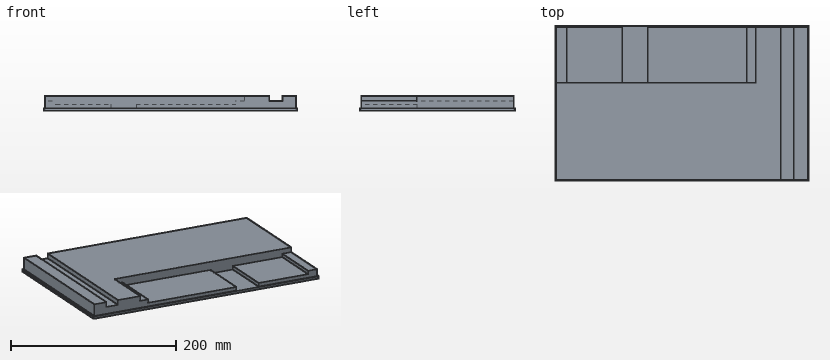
import cadquery as cq

length = 307.0
width = 188.0
height = 18.0
flange_thickness = 3.0
flange_overhang = 1.5

groove_start = 119.7
groove_end = 135.5
groove_depth = 6.0

recess_front = 25.0
recess_end = 89.3
recess_depth = 6.0

floor_start = -139.7
floor_end = 78.5
floor_depth = 10.5

channel_start = -72.0
channel_end = -41.8
channel_depth = height - flange_thickness

body_length = length - 2 * flange_overhang
body_width = width - 2 * flange_overhang
body_left = -body_length / 2
body_front = -body_width / 2
body_back = body_width / 2


def top_cut(x_start, x_end, y_start, depth):
    """Box reaching down from the top face and back to the +Y side of the body."""
    return cq.Workplane("XY").box(
        x_end - x_start, body_back - y_start, depth, centered=False
    ).translate((x_start, y_start, height - depth))


flange = cq.Workplane("XY").box(length, width, flange_thickness, centered=(True, True, False))
body = cq.Workplane("XY").box(body_length, body_width, height, centered=(True, True, False))

groove = top_cut(groove_start, groove_end, body_front, groove_depth)
recess = top_cut(body_left, recess_end, recess_front, recess_depth)
deep_floor = top_cut(floor_start, floor_end, recess_front, floor_depth)
channel = top_cut(channel_start, channel_end, recess_front, channel_depth)

result = flange.union(body)
for cutter in (groove, recess, deep_floor, channel):
    result = result.cut(cutter)